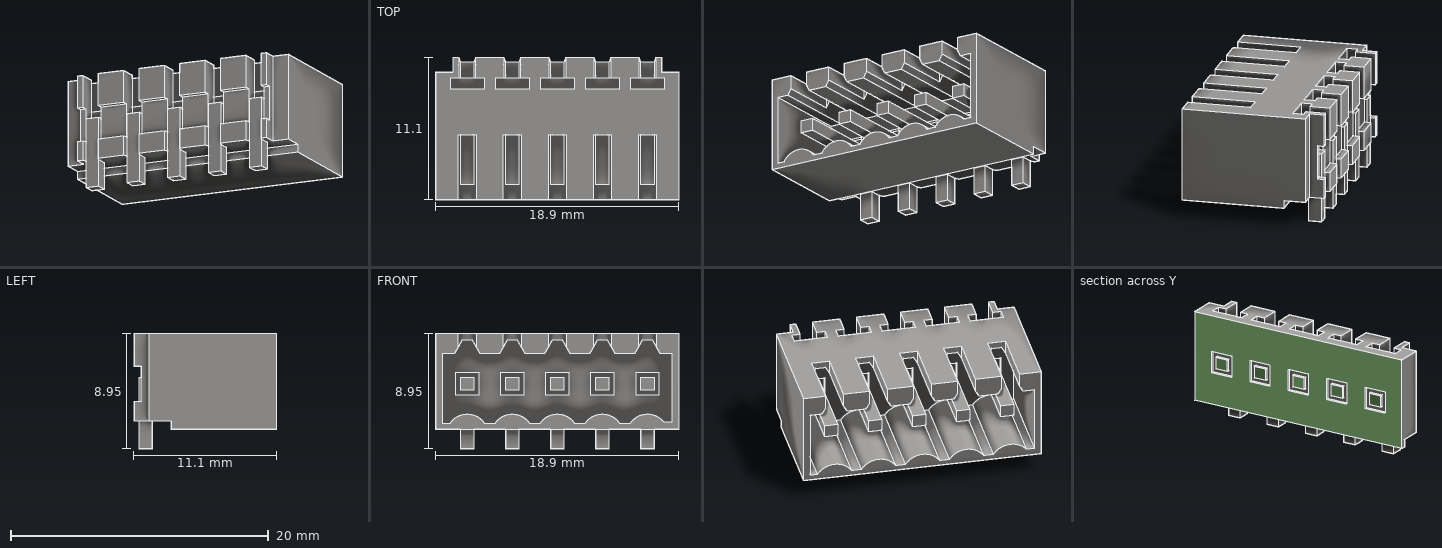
import cadquery as cq


pin_count = 5
pitch = 3.5
pin_positions = [(i - (pin_count - 1) / 2) * pitch for i in range(pin_count)]

width = 18.9
depth = 11.05
height = 7.45
overall_height = 8.95

rear_corner_width = 1.35
rear_corner_depth = 1.15
underside_step_depth = 2.87
underside_step_height = 0.62
groove_top_z = height - 2.57
groove_bottom_z = height - 5.27
groove_depth = 0.55

wall = 0.55
cavity_depth = 7.56
floor_z = 0.43
right_floor_z = 0.57
ceiling_z = height - 1.57
notch_top_z = height - 0.53
notch_half_base = 0.98
notch_half_top = 0.4
bump_half_chord = 1.36
bump_height = 0.74

slot_width = 1.42
slot_length = 5.05
pocket_width = 2.65
pocket_depth_y = 0.87
pocket_rear_offset = 1.59
pocket_floor_z = groove_top_z

pin_width = 1.05
pin_height = 0.98
pin_top_z = height - 3.42
pin_tip_y = 1.2
leg_depth = 1.05
pin_rear_gap = 0.35
pin_rear_y = depth - pin_rear_gap
leg_front_y = pin_rear_y - leg_depth
pin_bottom_z = height - overall_height
recess_margin = 0.38
recess_depth = 0.38

rear_slot_width = 1.3
rear_slot_y = depth - pocket_rear_offset
lead_in_depth = pin_rear_gap


def box(x_size, x_mid, y_range, z_range):
    """Block centred on x_mid and spanning the given Y and Z ranges."""
    y0, y1 = y_range
    z0, z1 = z_range
    block = cq.Workplane("XY").box(x_size, y1 - y0, z1 - z0, centered=(True, False, False))
    return block.translate((x_mid, y0, z0))


def make_shell():
    """Outer block with a narrowed rear end, a stepped underside and a groove across the back."""
    shell = box(width, 0, (0, depth), (0, height))
    corner_y = depth - rear_corner_depth
    for side in (-1, 1):
        corner_x = side * (width - rear_corner_width) / 2
        shell = shell.cut(box(rear_corner_width, corner_x, (corner_y, depth), (0, height)))
    step_y = depth - underside_step_depth
    shell = shell.cut(box(width, 0, (step_y, depth), (0, underside_step_height)))
    groove_y = depth - groove_depth
    return shell.cut(box(width, 0, (groove_y, depth), (groove_bottom_z, groove_top_z)))


def extrude_to_rear_wall(outline):
    """Close an XZ outline and extrude it from the front face to the rear wall of the cavity."""
    return outline.close().extrude(-cavity_depth)


def make_cavity():
    """Plug cavity: ribbed floor, and a tapered notch in the ceiling above each pin."""
    half = width / 2 - wall
    cavity = box(2 * half, 0, (0, cavity_depth), (floor_z, ceiling_z))
    strip_left = pin_positions[-1]
    strip_mid = (half + strip_left) / 2
    cavity = cavity.cut(box(half - strip_left, strip_mid, (0, cavity_depth), (floor_z, right_floor_z)))
    for x in pin_positions:
        bump = (
            cq.Workplane("XZ")
            .moveTo(x - bump_half_chord, floor_z)
            .threePointArc((x, floor_z + bump_height), (x + bump_half_chord, floor_z))
        )
        notch = cq.Workplane("XZ").polyline([
            (x - notch_half_base, ceiling_z),
            (x - notch_half_top, notch_top_z),
            (x + notch_half_top, notch_top_z),
            (x + notch_half_base, ceiling_z),
        ])
        cavity = cavity.cut(extrude_to_rear_wall(bump))
        cavity = cavity.union(extrude_to_rear_wall(notch))
    return cavity


def make_roof_openings(x):
    """Coding slot open at the front, and a pocket near the rear."""
    slot = box(slot_width, x, (0, slot_length), (ceiling_z, height))
    pocket = box(pocket_width, x, (rear_slot_y - pocket_depth_y, rear_slot_y), (pocket_floor_z, height))
    return slot.union(pocket)


def make_rear_slot(x):
    """Rear slot: wide above the lower block, pin-wide with a flared entry through it."""
    wide = box(rear_slot_width, x, (rear_slot_y, depth), (groove_bottom_z, height))
    half_pin = pin_width / 2
    half_entry = rear_slot_width / 2
    lead_in_y = depth - lead_in_depth
    narrow = (
        cq.Workplane("XY")
        .polyline([
            (x - half_pin, leg_front_y),
            (x - half_pin, lead_in_y),
            (x - half_entry, depth),
            (x + half_entry, depth),
            (x + half_pin, lead_in_y),
            (x + half_pin, leg_front_y),
        ])
        .close()
        .extrude(groove_bottom_z)
    )
    return wide.union(narrow)


def make_pin_recess(x):
    """Square recess round the pin in the rear wall of the cavity."""
    z_range = (pin_top_z - pin_height - recess_margin, pin_top_z + recess_margin)
    return box(pin_width + 2 * recess_margin, x, (cavity_depth, cavity_depth + recess_depth), z_range)


def make_pin(x):
    """L-shaped pin: a contact pointing forwards and a solder leg pointing down."""
    contact = box(pin_width, x, (pin_tip_y, pin_rear_y), (pin_top_z - pin_height, pin_top_z))
    leg = box(pin_width, x, (leg_front_y, pin_rear_y), (pin_bottom_z, pin_top_z))
    return contact.union(leg)


pins = [make_pin(x) for x in pin_positions]

housing = make_shell().cut(make_cavity())
for x, pin in zip(pin_positions, pins):
    housing = housing.cut(make_roof_openings(x))
    housing = housing.cut(make_rear_slot(x))
    housing = housing.cut(make_pin_recess(x))
    housing = housing.cut(pin)

result = cq.Compound.makeCompound([housing.val(), *[pin.val() for pin in pins]])